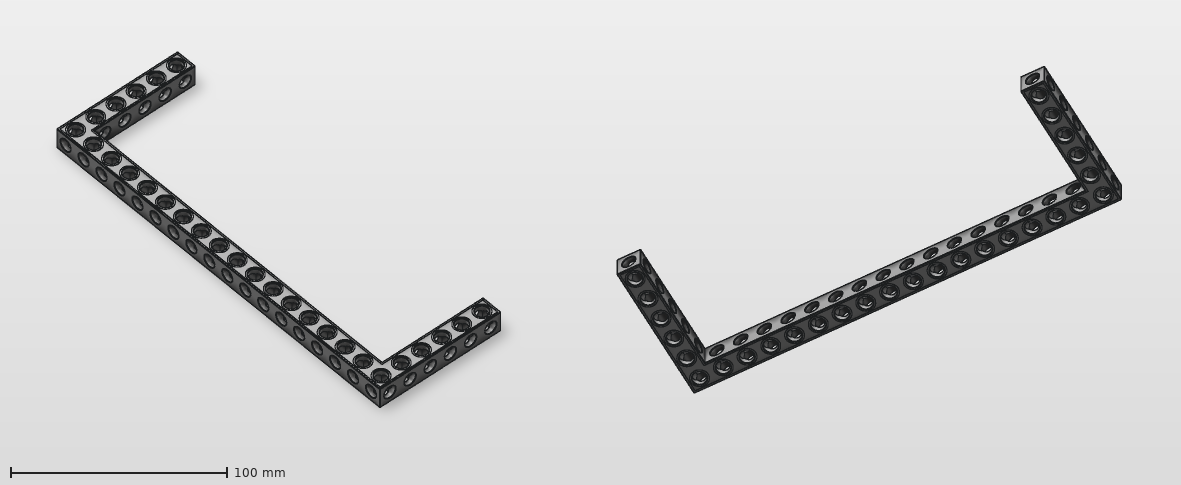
import cadquery as cq
PITCH = 12.5
BASE_HOLES = 18
LEG_HOLES = 6
HOLE_DIAMETER = 7.0
CHAMFER = 0.3
LAND = 0.8
RECESS_DEPTH = 0.2

LENGTH = BASE_HOLES * PITCH
DEPTH = LEG_HOLES * PITCH
MID_HEIGHT = PITCH / 2
HOLE_RADIUS = HOLE_DIAMETER / 2
RIM_WIDTH = CHAMFER + LAND
RIM_RADIUS = HOLE_RADIUS + RIM_WIDTH

base_positions = [(i + 0.5) * PITCH for i in range(BASE_HOLES)]
leg_positions = [(j + 0.5) * PITCH for j in range(LEG_HOLES)]
corner_xs = (base_positions[0], base_positions[-1])
vertical_spots = [(x, leg_positions[0]) for x in base_positions]
vertical_spots += [(x, y) for x in corner_xs for y in leg_positions[1:]]


def u_plate(inset, bottom, height):
    """U-shaped plate whose outline lies `inset` inside the outline of the part."""
    inner_left = PITCH - inset
    inner_right = LENGTH - inner_left
    inner_front = PITCH - inset
    back = DEPTH - inset
    outline = [
        (inset, inset),
        (LENGTH - inset, inset),
        (LENGTH - inset, back),
        (inner_right, back),
        (inner_right, inner_front),
        (inner_left, inner_front),
        (inner_left, back),
        (inset, back),
    ]
    return cq.Workplane("XY").workplane(offset=bottom).polyline(outline).close().extrude(height)


def chamfered_frame():
    """Full U-shaped bar with its convex upright edges and its top and bottom edges chamfered."""
    frame = u_plate(0, 0, PITCH)
    frame = frame.edges("|Z").edges("<Y or >Y").chamfer(CHAMFER)
    return frame.faces("<Z or >Z").edges().chamfer(CHAMFER)


def hole_cutter(start, direction, length):
    """Through hole of the given length with a chamfered mouth at both ends."""
    end = start + direction * length
    mouth_radius = HOLE_RADIUS + CHAMFER
    bore = cq.Solid.makeCylinder(HOLE_RADIUS, length, start, direction)
    entry = cq.Solid.makeCone(mouth_radius, HOLE_RADIUS, CHAMFER, start, direction)
    exit_mouth = cq.Solid.makeCone(mouth_radius, HOLE_RADIUS, CHAMFER, end, direction * -1)
    return [bore, entry, exit_mouth]


def vertical_hole_cutters():
    cutters = []
    for x, y in vertical_spots:
        cutters += hole_cutter(cq.Vector(x, y, 0), cq.Vector(0, 0, 1), PITCH)
    return cutters


def base_hole_cutters():
    """Holes along Y through the base; the outermost two run the whole length of the legs."""
    cutters = []
    for x in base_positions:
        length = DEPTH if x in corner_xs else PITCH
        cutters += hole_cutter(cq.Vector(x, 0, MID_HEIGHT), cq.Vector(0, 1, 0), length)
    return cutters


def leg_hole_cutters():
    """Holes along X through both legs; the first one runs the whole length of the base."""
    along_x = cq.Vector(1, 0, 0)
    cutters = hole_cutter(cq.Vector(0, leg_positions[0], MID_HEIGHT), along_x, LENGTH)
    for y in leg_positions[1:]:
        for x_start in (0, LENGTH - PITCH):
            cutters += hole_cutter(cq.Vector(x_start, y, MID_HEIGHT), along_x, PITCH)
    return cutters


def recess_cutter(bottom):
    """Shallow panel that leaves a rim along the outline and a ring around each hole."""
    rings = [
        cq.Solid.makeCylinder(RIM_RADIUS, RECESS_DEPTH, cq.Vector(x, y, bottom))
        for x, y in vertical_spots
    ]
    return u_plate(RIM_WIDTH, bottom, RECESS_DEPTH).val().cut(*rings)


cutters = vertical_hole_cutters() + base_hole_cutters() + leg_hole_cutters()
cutters += [recess_cutter(0), recess_cutter(PITCH - RECESS_DEPTH)]
result = cq.Workplane(chamfered_frame().val().cut(*cutters))